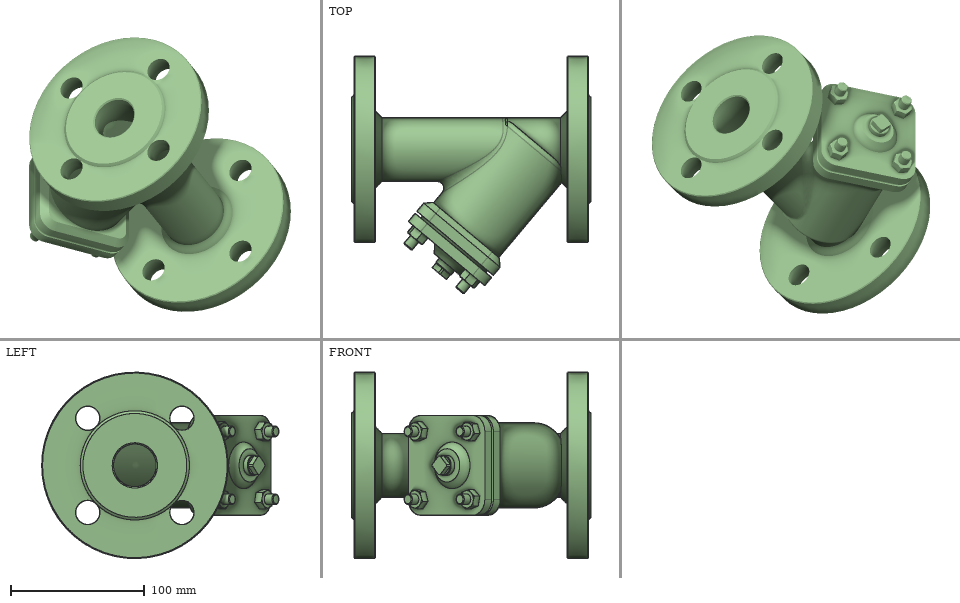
import cadquery as cq
import math


face_to_face = 180.0
pipe_dia = 48.0
bore_dia = 32.0
bore_chamfer = 1.0
flange_dia = 140.0
flange_thickness = 16.0
flange_chamfer = 0.7
raised_face_dia = 78.0
raised_face_height = 2.0
neck_length = 5.0
bolt_circle_dia = 100.0
bolt_hole_dia = 18.0
bolt_hole_count = 4
bolt_hole_start_angle = 45.0

branch_angle = 40.0
branch_axis_x = 47.0
branch_dia = 64.0
branch_overrun = 4.7
branch_end_fillet = 4.0
junction_fillet = 5.0

plate_side = 75.0
plate_corner_radius = 12.0
plate_thickness = 8.0
plate_gap = 2.0
plate_bevel = 5.0
plate_bevel_angle = 45.0
cover_face = 102.0
cover_back = cover_face - plate_thickness
branch_flange_back = cover_back - plate_gap - plate_thickness

boss_offset = 5.5
boss_base_dia = 35.0
boss_top_dia = 25.0
boss_height = 6.0
collar_dia = 15.0
collar_height = 4.5
collar_chamfer = 0.5
plug_square = 11.0
plug_corner_dia = 14.0
plug_square_height = 4.5
plug_square_turn = 45.0

stud_circle_dia = 72.0
stud_dia = 8.0
stud_tip_dia = 6.65
stud_length = 15.0
stud_tip_length = (stud_dia - stud_tip_dia) / 2
nut_flats = 13.0
nut_height = 6.8
nut_chamfer_angle = 30.0
nut_turn = -12.0
fastener_count = 4
fastener_pitch_angle = 360.0 / fastener_count
fastener_start_angle = 45.0

lean = math.radians(branch_angle)
branch_direction = cq.Vector(-math.sin(lean), -math.cos(lean), 0)
across_direction = cq.Vector(math.cos(lean), -math.sin(lean), 0)


def branch_plane(distance, across=0, up=0):
    """Plane square to the branch axis, facing out of the cover, with its local x along Z."""
    origin = (
        cq.Vector(branch_axis_x, 0, up)
        + branch_direction * distance
        + across_direction * across
    )
    return cq.Plane(origin=origin, xDir=(0, 0, 1), normal=branch_direction)


def cylinder(plane, dia, height):
    return cq.Workplane(plane).circle(dia / 2).extrude(height)


def cone(plane, base_dia, top_dia, height):
    solid = cq.Solid.makeCone(base_dia / 2, top_dia / 2, height, pnt=plane.origin, dir=plane.zDir)
    return cq.Workplane(solid)


def pipe_and_branch():
    """Straight pipe and branch, blended on the inlet side; the closed branch end is rounded."""
    pipe_length = face_to_face - 2 * (raised_face_height + flange_thickness)
    pipe = cq.Workplane("YZ").circle(pipe_dia / 2).extrude(pipe_length / 2, both=True)
    branch = cylinder(branch_plane(-branch_overrun), branch_dia, branch_overrun + cover_back)
    closed_end = cq.selectors.DirectionMinMaxSelector(branch_direction, False)
    rounded_branch = branch.faces(closed_end).edges().fillet(branch_end_fillet)

    joined = pipe.union(branch)
    inlet_junction = [
        edge
        for edge in joined.edges().vals()
        if edge.geomType() == "BSPLINE" and edge.Center().x < branch_axis_x
    ]
    joined = joined.newObject(inlet_junction).fillet(junction_fillet)
    end_rim = branch.cut(rounded_branch).cut(pipe)
    return joined.cut(end_rim), rounded_branch


def end_flange(side):
    """Flange, raised face and weld neck at the -X (side = -1) or +X (side = 1) end."""
    end = face_to_face / 2
    front = end - raised_face_height
    back = front - flange_thickness
    pipe_radius = pipe_dia / 2
    rim_radius = flange_dia / 2
    raised_radius = raised_face_dia / 2
    profile = [
        (back - neck_length, 0),
        (back - neck_length, pipe_radius),
        (back, pipe_radius + neck_length),
        (back, rim_radius - flange_chamfer),
        (back + flange_chamfer, rim_radius),
        (front - flange_chamfer, rim_radius),
        (front, rim_radius - flange_chamfer),
        (front, raised_radius + raised_face_height),
        (end, raised_radius),
        (end, 0),
    ]
    outline = [(side * x, radius) for x, radius in profile]
    flange = cq.Workplane("XY").polyline(outline).close().revolve(360, (0, 0), (1, 0))
    bolt_holes = (
        cq.Workplane("YZ")
        .polarArray(bolt_circle_dia / 2, bolt_hole_start_angle, 360, bolt_hole_count)
        .circle(bolt_hole_dia / 2)
        .extrude(side * end)
    )
    return flange.cut(bolt_holes)


def bore(side, branch):
    """Chamfered bore from one end, running in until it meets the solid branch."""
    mouth = cq.Plane(origin=(side * face_to_face / 2, 0, 0), xDir=(0, 1, 0), normal=(-side, 0, 0))
    passage = cylinder(mouth, bore_dia, face_to_face / 2).cut(branch)
    return passage.union(cone(mouth, bore_dia + 2 * bore_chamfer, bore_dia, bore_chamfer))


def square_plate(distance, height, taper=0):
    outline = cq.Sketch().rect(plate_side, plate_side).vertices().fillet(plate_corner_radius)
    return cq.Workplane(branch_plane(distance)).placeSketch(outline).extrude(height, taper=taper)


def plug():
    """Boss on the cover carrying a round collar and a square head with trimmed corners."""
    boss = cone(branch_plane(cover_face, boss_offset), boss_base_dia, boss_top_dia, boss_height)

    collar_base = cover_face + boss_height
    straight_height = collar_height - collar_chamfer
    chamfer_plane = branch_plane(collar_base + straight_height, boss_offset)
    collar_end_dia = collar_dia - 2 * collar_chamfer
    collar = cylinder(branch_plane(collar_base, boss_offset), collar_dia, straight_height)
    collar = collar.union(cone(chamfer_plane, collar_dia, collar_end_dia, collar_chamfer))

    head_plane = branch_plane(collar_base + collar_height, boss_offset)
    head = (
        cq.Workplane(head_plane)
        .transformed(rotate=(0, 0, plug_square_turn))
        .rect(plug_square, plug_square)
        .extrude(plug_square_height)
        .intersect(cylinder(head_plane, plug_corner_dia, plug_square_height))
    )
    return boss.union(collar).union(head)


def make_housing():
    body, branch = pipe_and_branch()
    for side in (-1, 1):
        body = body.union(end_flange(side)).cut(bore(side, branch))
    body = body.union(square_plate(branch_flange_back, plate_thickness))
    body = body.union(square_plate(branch_flange_back, -plate_bevel, plate_bevel_angle))
    body = body.union(square_plate(cover_back, plate_thickness))
    return body.union(plug())


def make_fastener(index):
    """Nut and projecting stud end, standing on the cover and turned with its place."""
    turn = fastener_pitch_angle * index
    place = math.radians(fastener_start_angle + turn)
    up = stud_circle_dia / 2 * math.cos(place)
    across = -stud_circle_dia / 2 * math.sin(place)
    seat = branch_plane(cover_face, across, up)

    nut_corners = nut_flats / math.cos(math.pi / 6)
    cone_base_dia = nut_flats + 2 * nut_height / math.tan(math.radians(nut_chamfer_angle))
    nut = (
        cq.Workplane(seat)
        .transformed(rotate=(0, 0, turn + nut_turn))
        .polygon(6, nut_corners)
        .extrude(nut_height)
        .intersect(cone(seat, cone_base_dia, nut_flats, nut_height))
    )
    tip_start = stud_length - stud_tip_length
    stud = cylinder(seat, stud_dia, tip_start)
    tip_plane = branch_plane(cover_face + tip_start, across, up)
    tip = cone(tip_plane, stud_dia, stud_tip_dia, stud_tip_length)
    return nut.union(stud).union(tip)


housing = make_housing().solids()
fasteners = [make_fastener(index).solids() for index in range(fastener_count)]

result = cq.Compound.makeCompound([housing.val(), *[fastener.val() for fastener in fasteners]])